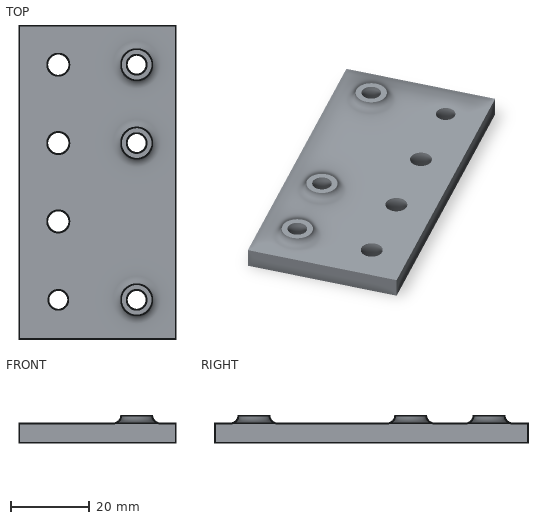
import cadquery as cq

plate_width = 40.0
plate_length = 80.0
plate_thickness = 5.0

hole_pitch = 20.0
row_count = 4
left_column_x = -hole_pitch / 2
right_column_x = hole_pitch / 2
row_ys = [(row - (row_count - 1) / 2) * hole_pitch for row in range(row_count)]

small_hole_diameter = 5.0
large_hole_diameter = 5.59

boss_height = 2.0
boss_diameter = 8.0
boss_fillet_radius = boss_height
boss_rows = [0, 2, 3]


def make_plate():
    """Flat plate centred in X and Y, with its underside at Z = 0."""
    return cq.Workplane("XY").box(
        plate_width, plate_length, plate_thickness, centered=(True, True, False)
    )


def make_boss(x, y):
    """Boss revolved about its own axis, its base on the plate's top face."""
    top_radius = boss_diameter / 2
    base_radius = top_radius + boss_fillet_radius
    arc_inset = boss_fillet_radius * (1 - 0.5 ** 0.5)
    profile = (
        cq.Workplane("XZ")
        .lineTo(base_radius, 0)
        .threePointArc((top_radius + arc_inset, arc_inset), (top_radius, boss_height))
        .lineTo(0, boss_height)
        .close()
    )
    boss = profile.revolve(360, (0, 0, 0), (0, 1, 0))
    return boss.translate((x, y, plate_thickness))


def make_hole(x, y, diameter):
    """Cutting cylinder through the plate and any boss above it."""
    depth = plate_thickness + boss_height
    return cq.Workplane("XY").center(x, y).circle(diameter / 2).extrude(depth)


result = make_plate()

for row in boss_rows:
    result = result.union(make_boss(right_column_x, row_ys[row]))
    result = result.cut(make_hole(right_column_x, row_ys[row], small_hole_diameter))

left_hole_diameters = [small_hole_diameter] + [large_hole_diameter] * (row_count - 1)
for y, diameter in zip(row_ys, left_hole_diameters):
    result = result.cut(make_hole(left_column_x, y, diameter))